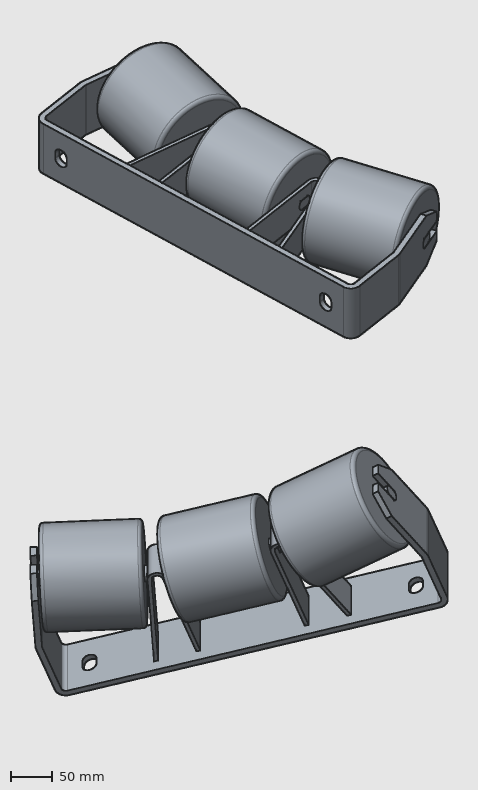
import cadquery as cq
import math

frame_length = 500.0
frame_height = 80.0
frame_thickness = 8.0
bend_outer_radius = 14.0
bend_inner_radius = bend_outer_radius - frame_thickness
side_bend_y = 87.0
lean_deg = 15.0

bend_to_axle = 77.5
axle_to_tip = 30.0
tip_chamfer_rise = 17.0
slot_width = 16.0

mount_slot_spacing = 416.0
mount_slot_width = 18.0
mount_slot_height = 26.0

roller_diameter = 133.0
roller_width = 125.0
roller_fillet = 5.0
axle_diameter = 20.0
axle_across_flats = 15.0
collar_length = 3.0
side_clearance = 4.0
middle_roller_y = 125.0

bracket_height = 50.0
bracket_thickness = 5.0
bracket_outer_radius = 12.0
bracket_inner_radius = bracket_outer_radius - bracket_thickness

lean = math.radians(lean_deg)
arm_dir = (math.sin(lean), math.cos(lean))
axis_dir = (math.cos(lean), -math.sin(lean))

half_length = frame_length / 2
support_offset = roller_width / 2 + side_clearance
arm_axle_reach = support_offset + frame_thickness
bracket_axle_reach = support_offset + bracket_thickness


def offset(point, direction, distance):
    return (point[0] + direction[0] * distance, point[1] + direction[1] * distance)


def on_circle(center, radius, angle):
    return (center[0] + radius * math.cos(angle), center[1] + radius * math.sin(angle))


corner_center = (-half_length + bend_outer_radius, bend_outer_radius)
side_center = (-half_length + bend_outer_radius, side_bend_y)
arm_start = on_circle(side_center, bend_outer_radius, math.pi - lean)
axle_on_arm = offset(arm_start, arm_dir, bend_to_axle)
outer_roller_center = offset(axle_on_arm, axis_dir, arm_axle_reach)


def place_left(shape):
    """Move a shape built around the origin, axis along X, to the left roller."""
    turned = shape.rotate((0, 0, 0), (0, 0, 1), -lean_deg)
    return turned.translate((*outer_roller_center, 0))


def mirrored(shape):
    return shape.mirror("YZ")


def axle(left_reach, right_reach):
    """Round bar along X with two flats facing +Z and -Z."""
    length = left_reach + right_reach
    bar = cq.Workplane("YZ", origin=(-left_reach, 0, 0)).circle(axle_diameter / 2).extrude(length)
    flats = (
        cq.Workplane("YZ", origin=(-left_reach, 0, 0))
        .rect(axle_diameter, axle_across_flats)
        .extrude(length)
    )
    return bar.intersect(flats)


def roller(left_reach, right_reach):
    """Roller with rounded rims, round collars and its axle, centred on the origin along X."""
    drum = (
        cq.Workplane("YZ", origin=(-roller_width / 2, 0, 0))
        .circle(roller_diameter / 2)
        .extrude(roller_width)
        .edges()
        .fillet(roller_fillet)
    )
    collars_length = roller_width + 2 * collar_length
    collars = (
        cq.Workplane("YZ", origin=(-collars_length / 2, 0, 0))
        .circle(axle_diameter / 2)
        .extrude(collars_length)
    )
    return drum.union(collars).union(axle(left_reach, right_reach))


def half_strip():
    """Left half of the bent frame strip, before any cuts."""
    tip_outer = offset(axle_on_arm, arm_dir, axle_to_tip)
    tip_inner = offset(tip_outer, axis_dir, frame_thickness)
    corner_mid = math.radians(225)
    side_mid = math.pi - lean / 2
    return (
        cq.Workplane("XY", origin=(0, 0, -frame_height / 2))
        .moveTo(0, 0)
        .lineTo(corner_center[0], 0)
        .threePointArc(
            on_circle(corner_center, bend_outer_radius, corner_mid),
            (-half_length, corner_center[1]),
        )
        .lineTo(-half_length, side_bend_y)
        .threePointArc(on_circle(side_center, bend_outer_radius, side_mid), arm_start)
        .lineTo(*tip_outer)
        .lineTo(*tip_inner)
        .lineTo(*on_circle(side_center, bend_inner_radius, math.pi - lean))
        .threePointArc(
            on_circle(side_center, bend_inner_radius, side_mid),
            (-half_length + frame_thickness, side_bend_y),
        )
        .lineTo(-half_length + frame_thickness, corner_center[1])
        .threePointArc(
            on_circle(corner_center, bend_inner_radius, corner_mid),
            (corner_center[0], frame_thickness),
        )
        .lineTo(0, frame_thickness)
        .close()
        .extrude(frame_height)
    )


def arm_cuts():
    """Axle slot, open at the tip, and the two sloping corners of the left arm."""
    start = -arm_axle_reach
    half_height = frame_height / 2
    arm_plane = cq.Workplane("YZ", origin=(start, 0, 0))
    open_slot = (
        arm_plane.center(axle_to_tip / 2, 0)
        .rect(axle_to_tip, slot_width)
        .extrude(frame_thickness)
    )
    slot_end = (
        arm_plane.circle(axle_diameter / 2)
        .extrude(frame_thickness)
        .intersect(arm_plane.rect(axle_diameter, slot_width).extrude(frame_thickness))
    )
    cuts = open_slot.union(slot_end)
    for side in (1, -1):
        corner = (
            arm_plane.moveTo(0, side * half_height)
            .lineTo(axle_to_tip, side * half_height)
            .lineTo(axle_to_tip, side * (half_height - tip_chamfer_rise))
            .close()
            .extrude(frame_thickness)
        )
        cuts = cuts.union(corner)
    return place_left(cuts)


def make_frame():
    left_half = half_strip().cut(arm_cuts())
    mount_slots = (
        cq.Workplane("XZ")
        .pushPoints([(-mount_slot_spacing / 2, 0), (mount_slot_spacing / 2, 0)])
        .slot2D(mount_slot_height, mount_slot_width, 90)
        .extrude(-frame_thickness)
    )
    return left_half.union(mirrored(left_half)).cut(mount_slots)


def make_left_bracket():
    """Folded strip: a straight leg beside the middle roller, a leaning leg beside the left one."""
    fold_x = -support_offset - bracket_outer_radius
    leaning_face = (
        outer_roller_center[0] * axis_dir[0] + outer_roller_center[1] * axis_dir[1] + support_offset
    )
    fold_y = (leaning_face + bracket_outer_radius - fold_x * axis_dir[0]) / axis_dir[1]
    fold_center = (fold_x, fold_y)

    fold_end = math.pi - lean
    fold_mid = fold_end / 2
    outer_end = on_circle(fold_center, bracket_outer_radius, fold_end)
    inner_end = on_circle(fold_center, bracket_inner_radius, fold_end)

    def leaning_foot(leg_top):
        return (leg_top[0] - (leg_top[1] - frame_thickness) * math.tan(lean), frame_thickness)

    strip = (
        cq.Workplane("XY", origin=(0, 0, -bracket_height / 2))
        .moveTo(-support_offset, frame_thickness)
        .lineTo(-support_offset, fold_y)
        .threePointArc(on_circle(fold_center, bracket_outer_radius, fold_mid), outer_end)
        .lineTo(*leaning_foot(outer_end))
        .lineTo(*leaning_foot(inner_end))
        .lineTo(*inner_end)
        .threePointArc(
            on_circle(fold_center, bracket_inner_radius, fold_mid),
            (fold_x + bracket_inner_radius, fold_y),
        )
        .lineTo(fold_x + bracket_inner_radius, frame_thickness)
        .close()
        .extrude(bracket_height)
    )
    middle_axle = axle(bracket_axle_reach, 0).translate((0, middle_roller_y, 0))
    left_axle = place_left(axle(0, bracket_axle_reach))
    return strip.cut(middle_axle).cut(left_axle)


frame = make_frame()

left_bracket = make_left_bracket()
brackets = [left_bracket, mirrored(left_bracket)]

middle_roller = roller(bracket_axle_reach, bracket_axle_reach).translate((0, middle_roller_y, 0))
left_roller = place_left(roller(arm_axle_reach, bracket_axle_reach))
rollers = [left_roller, middle_roller, mirrored(left_roller)]

result = cq.Compound.makeCompound([body.val() for body in [frame, *brackets, *rollers]])